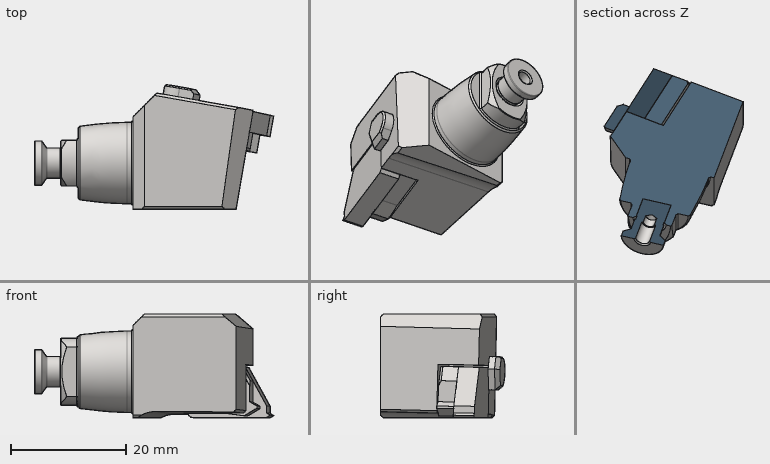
import cadquery as cq
import math

REACH = 60.0
OVERSHOOT = 1.0

BLOCK_BOTTOM = -8.0
BLOCK_TOP = 10.0
BLOCK_FRONT = -8.0
SIDE_BEVEL_START = 8.0
FACE_OFFSET = 12.645
END_FOOT = 17.9
END_ANGLE = math.radians(9.75)
TOP_BEVEL = 2.0
EDGE_BREAK = 0.5

FACE_TURN = math.radians(10.0)
FACE_LEAN = math.radians(1.4)

END_SLOPE_POINTS = ((17.77, 9.26, 10.0), (15.43, -7.48, 10.0), (20.7, 8.95, 7.5))

RELIEF_FLOOR = -7.37
RELIEF_RADIUS = 5.0
RELIEF_TANGENT = 7.5
RELIEF_END_BREAK = 0.45

TAPER_REAR = -9.47
TAPER_REAR_RADIUS = 6.4
TAPER_REAR_CHAMFER = 0.3
TAPER_MID_X = -5.1
TAPER_MID_RADIUS = 6.88
COLLAR_START = -1.0
COLLAR_RADIUS = 14.18 / 2
COLLAR_FILLET = 0.22

SPIGOT_REAR = -12.5
SPIGOT_RADIUS = 5.85
SPIGOT_CHAMFER = 0.1
FLAT_HALF_WIDTH = 4.0
FLAT_FILLET = 0.25
FLAT_BEVEL_RADIUS = 10.2
FLAT_BEVEL_REACH = 3.8

STUD_REAR = -17.0
STUD_HEAD_RADIUS = 7.7 / 2
STUD_HEAD_LENGTH = 1.2
STUD_NECK_REAR = -14.93
STUD_NECK_RADIUS = 5.3 / 2
STUD_SHAFT_RADIUS = 5.0 / 2
STUD_EDGE_FILLET = 0.1
STUD_FRONT = -8.0
STUD_NECK_CHAMFER = 0.15
STUD_MOUTH_RADIUS = 6.0 / 2
STUD_BORE_RADIUS = 2.5 / 2
STUD_BORE_DEPTH = 4.0
STUD_BORE_MOUTH_RADIUS = 3.0 / 2
STUD_TIP_RADIUS = 2.0 / 2
STUD_TIP_DEPTH = 5.5
DRILL_POINT_HALF_ANGLE = math.radians(59)

POCKET_LEFT = 10.3
POCKET_CLEARANCE = 0.3
POCKET_CEILING = 1.1
INSERT_THICKNESS = 3.65
INSERT_HEEL_CHAMFER = 0.55
SEAT_DEPTH = 6.85
FLANK_TOP_U = 20.4
FLANK_TOP_V = 0.75
INSERT_RIGHT = 24.2
FLANK_FOOT_V = -6.0
TIP_REACH = 24.82
TIP_ROOT = -7.2
TIP_HEIGHT = -7.62
SEAT_RIGHT = 21.78
SEAT_LEDGE = -5.35
SEAT_NOSE_U = 23.04
SEAT_NOSE_TOP = -6.1
SEAT_NOSE_BOTTOM = -6.5
SEAT_FOOT_U = 20.8
SEAT_FOOT = -7.8
SEAT_HEEL_U = 17.5
SEAT_CHAMFER = 0.45

NOZZLE_U = 7.9
NOZZLE_RADIUS = 2.63
NOZZLE_HEIGHT = 1.94
NOZZLE_TANGENT_ANGLE = math.radians(229)
NOZZLE_SHOULDER_U = 10.5
NOZZLE_NOSE_U = 11.65
NOZZLE_NOSE_V = 0.5
NOZZLE_BOTTOM = -3.15
NOZZLE_CHAMFER = 0.3
NOZZLE_NOSE_CHAMFER = 0.8


def face_plane(depth=0.0):
    """Plane on the clamping face: u runs along it, v up, the normal points into the block."""
    inward = cq.Vector(
        -math.sin(FACE_TURN) * math.cos(FACE_LEAN),
        -math.cos(FACE_TURN) * math.cos(FACE_LEAN),
        math.sin(FACE_LEAN),
    )
    along = cq.Vector(math.cos(FACE_TURN), -math.sin(FACE_TURN), 0)
    origin = cq.Vector(0, FACE_OFFSET, 0) + inward * depth
    return cq.Plane(origin=origin, xDir=along, normal=inward)


def nearest_to(plane, u, v):
    """Selector for the edge closest to the point (u, v) of a plane."""
    return cq.NearestToPointSelector(plane.toWorldCoords((u, v, 0)).toTuple())


def flank_v(u):
    """Height of the insert's sloped flank at u."""
    slope = (FLANK_FOOT_V - FLANK_TOP_V) / (INSERT_RIGHT - FLANK_TOP_U)
    return FLANK_TOP_V + (u - FLANK_TOP_U) * slope


def block_body():
    beyond_face = REACH / 2
    end_run = math.tan(END_ANGLE)
    outline = [
        (0, BLOCK_FRONT),
        (END_FOOT, BLOCK_FRONT),
        (END_FOOT + end_run * (beyond_face - BLOCK_FRONT), beyond_face),
        (beyond_face - SIDE_BEVEL_START, beyond_face),
        (0, SIDE_BEVEL_START),
    ]
    block = (
        cq.Workplane("XY").workplane(offset=BLOCK_BOTTOM)
        .polyline(outline).close().extrude(BLOCK_TOP - BLOCK_BOTTOM)
    )
    block = block.cut(
        cq.Workplane(face_plane()).rect(2 * REACH, 2 * REACH).extrude(-REACH)
    )
    block = block.faces("<Y").edges("|X").chamfer(EDGE_BREAK)
    for height in (BLOCK_TOP, BLOCK_BOTTOM):
        long_edge = nearest_to(face_plane(), END_FOOT / 2, height)
        block = block.edges(long_edge).chamfer(EDGE_BREAK)
    return block


def top_bevel_cutter():
    return (
        cq.Workplane("XZ")
        .polyline([(0, BLOCK_TOP), (TOP_BEVEL, BLOCK_TOP), (0, BLOCK_TOP - TOP_BEVEL)])
        .close().extrude(REACH, both=True)
    )


def end_slope_cutter():
    far, near, low = (cq.Vector(*point) for point in END_SLOPE_POINTS)
    along = far - near
    upward = (low - near).cross(along)
    plane = cq.Plane(origin=near, xDir=along, normal=upward)
    return cq.Workplane(plane).rect(2 * REACH, 2 * REACH).extrude(REACH)


def relief_cutter():
    """Shallow step across the underside that runs in on an arc."""
    center_v = RELIEF_FLOOR - RELIEF_RADIUS
    arc_mid = RELIEF_RADIUS * math.sin(math.radians(45))
    return (
        cq.Workplane(face_plane(-OVERSHOOT))
        .moveTo(RELIEF_TANGENT - RELIEF_RADIUS, center_v)
        .threePointArc(
            (RELIEF_TANGENT - arc_mid, center_v + arc_mid), (RELIEF_TANGENT, RELIEF_FLOOR)
        )
        .lineTo(REACH, RELIEF_FLOOR)
        .lineTo(REACH, center_v)
        .close().extrude(REACH)
    )


def pocket_cutter():
    """Corner notch that takes the insert and its seat."""
    return (
        cq.Workplane(face_plane(-OVERSHOOT))
        .moveTo(POCKET_LEFT, POCKET_CEILING)
        .lineTo(REACH, POCKET_CEILING)
        .lineTo(REACH, -REACH)
        .lineTo(POCKET_LEFT, -REACH)
        .close().extrude(OVERSHOOT + SEAT_DEPTH + POCKET_CLEARANCE)
    )


def shank():
    return (
        cq.Workplane("XY")
        .moveTo(TAPER_REAR, 0)
        .lineTo(TAPER_REAR, TAPER_REAR_RADIUS - TAPER_REAR_CHAMFER)
        .lineTo(TAPER_REAR + TAPER_REAR_CHAMFER, TAPER_REAR_RADIUS)
        .threePointArc((TAPER_MID_X, TAPER_MID_RADIUS), (COLLAR_START, COLLAR_RADIUS))
        .lineTo(-COLLAR_FILLET, COLLAR_RADIUS)
        .radiusArc((0, COLLAR_RADIUS + COLLAR_FILLET), COLLAR_FILLET)
        .lineTo(0, 0)
        .close().revolve(360, (0, 0, 0), (1, 0, 0))
    )


def flat_bevel_cone(side):
    """Off-centre 45 degree cone whose wall bevels the rear end of one flat."""
    length = TAPER_REAR - SPIGOT_REAR
    center_y = side * (FLAT_BEVEL_REACH - FLAT_BEVEL_RADIUS)
    return cq.Workplane(
        cq.Solid.makeCone(
            FLAT_BEVEL_RADIUS, FLAT_BEVEL_RADIUS + length, length,
            pnt=cq.Vector(SPIGOT_REAR, center_y, 0), dir=cq.Vector(1, 0, 0),
        )
    )


def spigot():
    body = (
        cq.Workplane("XY")
        .moveTo(SPIGOT_REAR, 0)
        .lineTo(SPIGOT_REAR, SPIGOT_RADIUS - SPIGOT_CHAMFER)
        .lineTo(SPIGOT_REAR + SPIGOT_CHAMFER, SPIGOT_RADIUS)
        .lineTo(TAPER_REAR - FLAT_FILLET, SPIGOT_RADIUS)
        .radiusArc((TAPER_REAR, SPIGOT_RADIUS + FLAT_FILLET), FLAT_FILLET)
        .lineTo(TAPER_REAR, 0)
        .close().revolve(360, (0, 0, 0), (1, 0, 0))
    )
    flats = (
        cq.Workplane("XY")
        .moveTo(SPIGOT_REAR, 0)
        .lineTo(SPIGOT_REAR, FLAT_HALF_WIDTH)
        .lineTo(TAPER_REAR - FLAT_FILLET, FLAT_HALF_WIDTH)
        .radiusArc((TAPER_REAR, FLAT_HALF_WIDTH + FLAT_FILLET), FLAT_FILLET)
        .lineTo(TAPER_REAR, 0)
        .close().extrude(REACH, both=True)
    )
    flats = flats.union(flats.mirror("XZ"))
    body = body.intersect(flats)
    for side in (1, -1):
        body = body.intersect(flat_bevel_cone(side))
    return body


def stud_hole():
    mouth_depth = STUD_MOUTH_RADIUS - STUD_SHAFT_RADIUS
    return (
        cq.Workplane("XY")
        .moveTo(SPIGOT_REAR, 0)
        .lineTo(SPIGOT_REAR, STUD_MOUTH_RADIUS)
        .lineTo(SPIGOT_REAR + mouth_depth, STUD_SHAFT_RADIUS)
        .lineTo(STUD_FRONT, STUD_SHAFT_RADIUS)
        .lineTo(STUD_FRONT, 0)
        .close().revolve(360, (0, 0, 0), (1, 0, 0))
    )


def make_holder():
    block = block_body()
    for cutter in (top_bevel_cutter(), end_slope_cutter(), relief_cutter()):
        block = block.cut(cutter)
    end_edge_y = BLOCK_FRONT / 2
    end_edge_x = END_FOOT + (end_edge_y - BLOCK_FRONT) * math.tan(END_ANGLE)
    end_edge = cq.NearestToPointSelector((end_edge_x, end_edge_y, RELIEF_FLOOR))
    block = block.edges(end_edge).chamfer(RELIEF_END_BREAK)
    block = block.cut(pocket_cutter())
    return block.union(shank()).union(spigot()).cut(stud_hole())


def make_stud():
    head_front = STUD_REAR + STUD_HEAD_LENGTH
    neck_front = SPIGOT_REAR - STUD_NECK_CHAMFER
    mouth_end = STUD_REAR + STUD_BORE_MOUTH_RADIUS - STUD_BORE_RADIUS
    bore_end = STUD_REAR + STUD_BORE_DEPTH
    tip_end = STUD_REAR + STUD_TIP_DEPTH
    point_end = tip_end + STUD_TIP_RADIUS / math.tan(DRILL_POINT_HALF_ANGLE)
    stud = (
        cq.Workplane("XY")
        .moveTo(STUD_REAR, STUD_BORE_MOUTH_RADIUS)
        .lineTo(STUD_REAR, STUD_HEAD_RADIUS)
        .lineTo(head_front, STUD_HEAD_RADIUS)
        .lineTo(STUD_NECK_REAR, STUD_NECK_RADIUS)
        .lineTo(neck_front, STUD_NECK_RADIUS)
        .lineTo(SPIGOT_REAR, STUD_SHAFT_RADIUS)
        .lineTo(STUD_FRONT, STUD_SHAFT_RADIUS)
        .lineTo(STUD_FRONT, 0)
        .lineTo(point_end, 0)
        .lineTo(tip_end, STUD_TIP_RADIUS)
        .lineTo(bore_end, STUD_TIP_RADIUS)
        .lineTo(bore_end, STUD_BORE_RADIUS)
        .lineTo(mouth_end, STUD_BORE_RADIUS)
        .close().revolve(360, (0, 0, 0), (1, 0, 0))
    )
    for x in (STUD_REAR, head_front, STUD_NECK_REAR):
        rim = cq.selectors.BoxSelector(
            (x - STUD_EDGE_FILLET, -REACH, -REACH),
            (x + STUD_EDGE_FILLET, REACH, REACH),
        )
        stud = stud.edges(rim).edges(cq.selectors.RadiusNthSelector(-1)).fillet(STUD_EDGE_FILLET)
    return stud


def make_insert():
    outline = [
        (POCKET_LEFT, BLOCK_BOTTOM + INSERT_HEEL_CHAMFER),
        (POCKET_LEFT + INSERT_HEEL_CHAMFER, BLOCK_BOTTOM),
        (INSERT_RIGHT, BLOCK_BOTTOM),
        (TIP_REACH, TIP_HEIGHT),
        (INSERT_RIGHT, TIP_ROOT),
        (INSERT_RIGHT, FLANK_FOOT_V),
        (FLANK_TOP_U, FLANK_TOP_V),
        (POCKET_LEFT, FLANK_TOP_V),
    ]
    return cq.Workplane(face_plane()).polyline(outline).close().extrude(INSERT_THICKNESS)


def make_seat():
    outline = [
        (POCKET_LEFT, RELIEF_FLOOR),
        (SEAT_HEEL_U, RELIEF_FLOOR),
        (SEAT_FOOT_U, SEAT_FOOT),
        (SEAT_NOSE_U, SEAT_NOSE_BOTTOM),
        (SEAT_NOSE_U, SEAT_NOSE_TOP),
        (SEAT_RIGHT, SEAT_LEDGE),
        (SEAT_RIGHT, flank_v(SEAT_RIGHT)),
        (FLANK_TOP_U, FLANK_TOP_V),
        (POCKET_LEFT, FLANK_TOP_V),
    ]
    seat = (
        cq.Workplane(face_plane(INSERT_THICKNESS))
        .polyline(outline).close().extrude(SEAT_DEPTH - INSERT_THICKNESS)
    )
    flank_mid_u = (FLANK_TOP_U + SEAT_RIGHT) / 2
    flank_edge = nearest_to(face_plane(SEAT_DEPTH), flank_mid_u, flank_v(flank_mid_u))
    return seat.edges(flank_edge).chamfer(SEAT_CHAMFER)


def make_nozzle():
    tangent_u = NOZZLE_U + NOZZLE_RADIUS * math.cos(NOZZLE_TANGENT_ANGLE)
    tangent_v = NOZZLE_RADIUS * math.sin(NOZZLE_TANGENT_ANGLE)
    fall = tangent_v - NOZZLE_BOTTOM
    heel_u = tangent_u + fall * math.tan(NOZZLE_TANGENT_ANGLE)
    nozzle = (
        cq.Workplane(face_plane())
        .moveTo(NOZZLE_U, NOZZLE_RADIUS)
        .threePointArc((NOZZLE_U - NOZZLE_RADIUS, 0), (tangent_u, tangent_v))
        .lineTo(heel_u, NOZZLE_BOTTOM)
        .lineTo(NOZZLE_SHOULDER_U, NOZZLE_BOTTOM)
        .lineTo(NOZZLE_NOSE_U, NOZZLE_NOSE_V)
        .lineTo(NOZZLE_SHOULDER_U, NOZZLE_RADIUS)
        .close().extrude(-NOZZLE_HEIGHT)
    )
    plane = face_plane(-NOZZLE_HEIGHT)
    sides = (
        ((NOZZLE_SHOULDER_U + NOZZLE_NOSE_U) / 2, (NOZZLE_RADIUS + NOZZLE_NOSE_V) / 2),
        ((NOZZLE_SHOULDER_U + NOZZLE_NOSE_U) / 2, (NOZZLE_BOTTOM + NOZZLE_NOSE_V) / 2),
        ((heel_u + NOZZLE_SHOULDER_U) / 2, NOZZLE_BOTTOM),
    )
    nose = nearest_to(plane, *sides[0])
    for u, v in sides[1:]:
        nose = nose + nearest_to(plane, u, v)
    nozzle = nozzle.edges(nose).chamfer(NOZZLE_NOSE_CHAMFER)
    rounded_edge = nearest_to(plane, NOZZLE_U - NOZZLE_RADIUS, 0)
    return nozzle.edges(rounded_edge).chamfer(NOZZLE_CHAMFER)


result = cq.Compound.makeCompound([
    make_holder().val(),
    make_stud().val(),
    make_insert().val(),
    make_seat().val(),
    make_nozzle().val(),
])